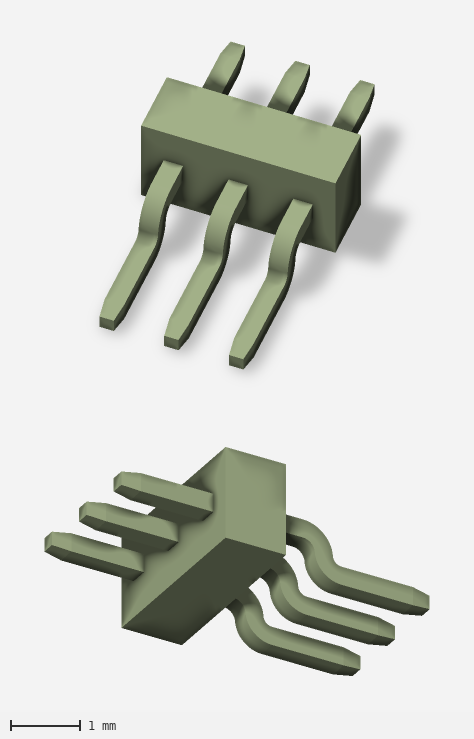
import cadquery as cq
import math

pin_count = 3
pitch = 1.0
housing_length = pin_count * pitch
housing_depth = 1.0
housing_height = 1.5
front_face_y = -housing_depth / 2
rear_face_y = housing_depth / 2

pin_size = 0.3
tip_length = 0.3
tip_size = 0.221
front_reach = 2.6
rear_reach = 1.5
front_end_y = front_face_y - front_reach
rear_end_y = rear_face_y + rear_reach

upper_level = 0.75
foot_level = pin_size / 2
drop = upper_level - foot_level

straight_lead = 0.478
bend_start_y = front_face_y - straight_lead
upper_bend_radius = 0.35
foot_bend_radius = 0.29
bend_angle = math.acos(1 - drop / (upper_bend_radius + foot_bend_radius))
bend_end_y = bend_start_y - (upper_bend_radius + foot_bend_radius) * math.sin(bend_angle)


def upper_bend_point(angle, offset):
    """Point on the upper bend; offset is measured outwards from the pin centreline."""
    radius = upper_bend_radius + offset
    return (
        bend_start_y - radius * math.sin(angle),
        upper_level - upper_bend_radius + radius * math.cos(angle),
    )


def foot_bend_point(angle, offset):
    """Point on the foot bend; a positive offset lies on the upper side of the pin."""
    radius = foot_bend_radius - offset
    return (
        bend_end_y + radius * math.sin(angle),
        foot_level + foot_bend_radius - radius * math.cos(angle),
    )


def make_wire():
    """Constant-section part of the pin at X = 0, between the two tapered tips."""
    half = pin_size / 2
    front_y = front_end_y + tip_length
    rear_y = rear_end_y - tip_length
    mid_angle = bend_angle / 2
    return (
        cq.Workplane("YZ", origin=(-half, 0, 0))
        .moveTo(rear_y, upper_level + half)
        .lineTo(*upper_bend_point(0, half))
        .threePointArc(upper_bend_point(mid_angle, half), upper_bend_point(bend_angle, half))
        .threePointArc(foot_bend_point(mid_angle, half), foot_bend_point(0, half))
        .lineTo(front_y, foot_level + half)
        .lineTo(front_y, foot_level - half)
        .lineTo(*foot_bend_point(0, -half))
        .threePointArc(foot_bend_point(mid_angle, -half), foot_bend_point(bend_angle, -half))
        .threePointArc(upper_bend_point(mid_angle, -half), upper_bend_point(0, -half))
        .lineTo(rear_y, upper_level - half)
        .close()
        .extrude(pin_size)
    )


def make_tip(end_y, level, direction):
    """Tapered pin end at X = 0, narrowing along direction (+1 or -1 in Y) to end_y."""
    base = cq.Plane(
        origin=(0, end_y - direction * tip_length, level),
        xDir=(1, 0, 0),
        normal=(0, direction, 0),
    )
    return (
        cq.Workplane(base)
        .rect(pin_size, pin_size)
        .workplane(offset=tip_length)
        .rect(tip_size, tip_size)
        .loft(ruled=True)
    )


def make_pin(x):
    """One complete pin, centred at the given X."""
    rear_tip = make_tip(rear_end_y, upper_level, 1)
    front_tip = make_tip(front_end_y, foot_level, -1)
    pin = make_wire().union(rear_tip).union(front_tip)
    return pin.translate((x, 0, 0))


def make_housing(pin_positions):
    """Plain block with a square through hole for each pin."""
    block = cq.Workplane("XY").box(
        housing_length, housing_depth, housing_height, centered=(True, True, False)
    )
    hole = cq.Workplane("XY").box(pin_size, housing_depth, pin_size)
    for x in pin_positions:
        block = block.cut(hole.translate((x, 0, upper_level)))
    return block


pin_positions = [(index - (pin_count - 1) / 2) * pitch for index in range(pin_count)]
housing = make_housing(pin_positions)
pins = [make_pin(x) for x in pin_positions]

result = cq.Compound.makeCompound([housing.solids().val(), *[pin.solids().val() for pin in pins]])